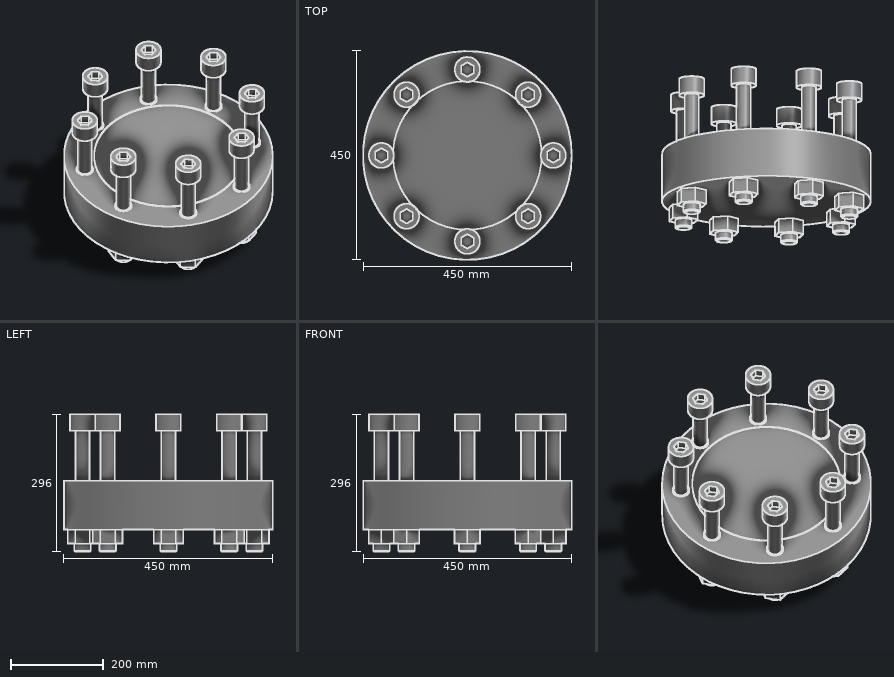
import cadquery as cq
import math

flange_diameter = 450.0
flange_thickness = 105.5
recess_diameter = 320.0
recess_depth = 2.0

bolt_count = 8
bolt_circle_diameter = 370.0
bolt_length = 260.0
head_diameter = 54.0
head_height = 36.0
shank_diameter = 31.0
thread_diameter = 36.0
thread_chamfer = (thread_diameter - shank_diameter) / 2
socket_across_flats = 27.0
socket_depth = 19.0

nut_across_flats = 55.5
nut_height = 30.0
thread_overhang = 17.5

thread_bottom = -(nut_height + thread_overhang)
thread_top = flange_thickness
head_bottom = thread_bottom + bolt_length


def hexagon(base_z, across_flats, height):
    """Hexagonal prism with flats facing +X and -X."""
    across_corners = across_flats / math.cos(math.pi / 6)
    prism = cq.Workplane("XY").polygon(6, across_corners).extrude(height)
    return prism.rotate((0, 0, 0), (0, 0, 1), 90).translate((0, 0, base_z))


def cylinder(base_z, diameter, height):
    return cq.Workplane("XY", origin=(0, 0, base_z)).circle(diameter / 2).extrude(height)


def bolt_positions():
    radius = bolt_circle_diameter / 2
    angles = [2 * math.pi * index / bolt_count for index in range(bolt_count)]
    return [(radius * math.cos(angle), radius * math.sin(angle), 0) for angle in angles]


def make_flange():
    """Recessed disc with a through hole for each bolt."""
    recess_floor = flange_thickness - recess_depth
    flange = cylinder(0, flange_diameter, flange_thickness)
    flange = flange.cut(cylinder(recess_floor, recess_diameter, recess_depth))
    bolt_hole = cylinder(0, thread_diameter, flange_thickness)
    for position in bolt_positions():
        flange = flange.cut(bolt_hole.translate(position))
    return flange


def make_bolt_with_nut():
    """Socket-head bolt whose thread fills its hole, leaving a small groove around the shank."""
    thread = cylinder(thread_bottom, thread_diameter, thread_top - thread_bottom)
    thread = thread.faces("<Z or >Z").chamfer(thread_chamfer)
    shank = cylinder(thread_top, shank_diameter, head_bottom - thread_top)
    head = cylinder(head_bottom, head_diameter, head_height)
    socket_floor = head_bottom + head_height - socket_depth
    head = head.cut(hexagon(socket_floor, socket_across_flats, socket_depth))
    nut = hexagon(-nut_height, nut_across_flats, nut_height)
    return thread.union(nut).union(shank).union(head)


result = make_flange()
bolt = make_bolt_with_nut()
for position in bolt_positions():
    result = result.union(bolt.translate(position))